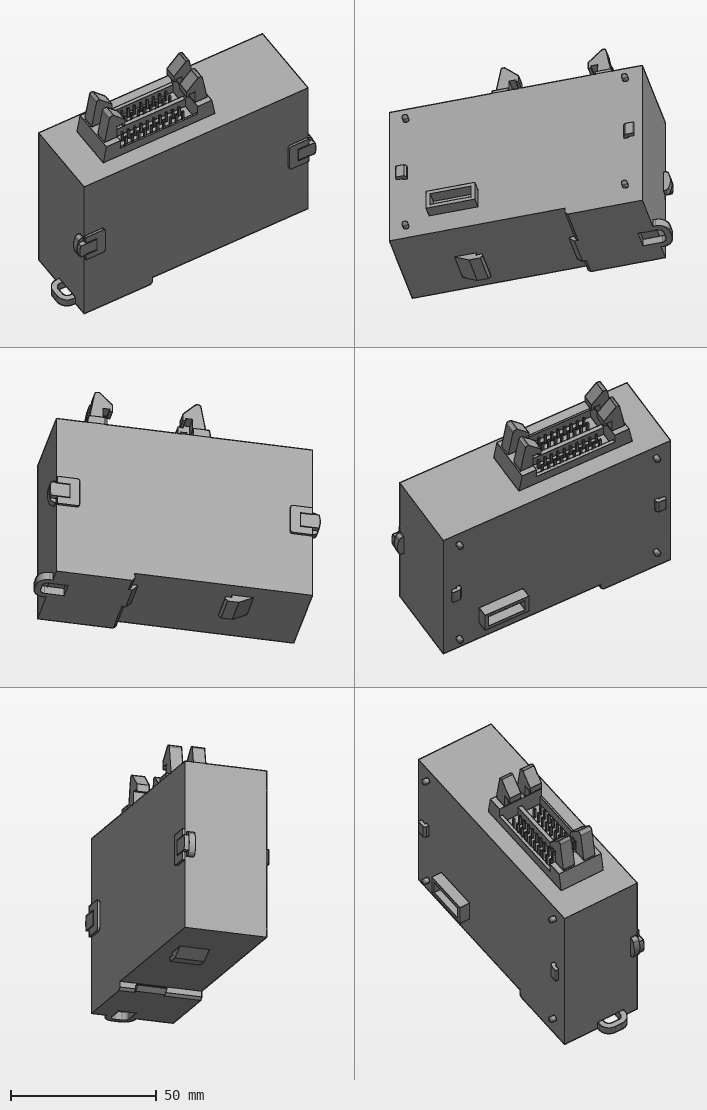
import cadquery as cq


body_width = 30.0
body_length = 90.0
body_height = 60.1
foot_height = 3.0
foot_inner_y = -17.45
foot_chamfer = 1.0
body_front_y = -body_length / 2
body_top = foot_height + body_height
mid_z = foot_height + body_height / 2

loop_width = 10.7
loop_reach = 5.0
loop_root = 1.0
loop_wall = 2.1
loop_corner = 4.0
loop_center_x = 19.0
opening_inset = 5.85
fixed_hook_heel_y = -17.1
fixed_hook_tip_y = -15.2
fixed_hook_tip_z = 1.7
fixed_hook_lip_y = -15.6
fixed_hook_top = 2.1
spring_hook_back_y = 25.5
spring_hook_ramp_y = 20.4
spring_hook_heel_y = 16.4
spring_hook_tip_y = 15.5
spring_hook_lip_y = 15.7
spring_hook_root_y = 17.8
spring_hook_bottom = 0.3
spring_hook_tip_z = 1.2
spring_hook_top = 2.0

header_center_y = -11.0
header_left = 6.3
header_width = 17.4
header_height = 7.2
header_half_base = 22.4
header_half_top = 21.2
header_wall_height = 3.6
header_half_gap = 15.5
cavity_spans = ((7.6, 13.9), (15.5, 23.0))

pin_size = 0.7
pin_pitch = 2.5
pin_rows = 10
pin_pair_centers = (10.7, 19.3)
pin_above_wall = 0.5

latch_width = 4.6
latch_half_base = 20.6
latch_top_outer = 18.5
latch_nose = 12.4
latch_nose_top = 6.9
latch_nose_bottom = 4.3
latch_lip = 1.0
latch_lip_height = 0.9
latch_half_gap = 15.7
latches = ((8.5, 11.9, 0.7, 0.6), (17.0, 11.5, 1.1, 0))

peg_diameter = 2.0
peg_length = 2.1
peg_rounding = 0.5
peg_offset_y = 39.0
peg_offset_z = 25.0
tab_inner_y = 38.5
tab_length = 3.8
tab_height = 5.2
tab_reach = 1.9
tab_gap = 0.5
tab_stem = 1.6
tab_bevel = 0.8
tab_rounding = 0.4
socket_center_y = 22.1
socket_center_z = 15.2
socket_length = 17.4
socket_height = 7.9
socket_wall = 1.5
socket_reach = 4.0

button_reach = 2.5
button_half_height = 4.4
button_x = 27.1
button_width = 2.3
button_side_reach = 1.5
button_corner = 1.5
bar_half_height = 2.7
bar_inner_y = 40.5
bar_setback = 0.1
bar_outer_x = body_width + 1.2
plate_thickness = 0.9
plate_half_height = 5.6
plate_inner_y = 36.9
plate_corner = 1.0
plate_setback = 0.2


def box(x0, x1, y0, y1, z0, z1):
    return cq.Workplane("XY").box(x1 - x0, y1 - y0, z1 - z0, centered=False).translate((x0, y0, z0))


def side_profile(x, points, width):
    """Extrude a closed (y, z) outline along +X from the given x."""
    return cq.Workplane("YZ").workplane(offset=x).polyline(points).close().extrude(width)


def mirrored_in_y(shape, plane_y=0):
    return shape.mirror("XZ", (0, plane_y, 0))


def make_housing():
    body_back_y = body_length / 2
    outline = [
        (body_front_y, 0),
        (foot_inner_y - foot_chamfer, 0),
        (foot_inner_y, foot_chamfer),
        (foot_inner_y, foot_height),
        (body_back_y, foot_height),
        (body_back_y, body_top),
        (body_front_y, body_top),
    ]
    return side_profile(0, outline, body_width)


def make_pull_loop():
    outer = box(loop_center_x - loop_width / 2, loop_center_x + loop_width / 2,
                body_front_y - loop_reach, body_front_y + loop_root, 0, foot_height)
    return outer.edges("|Z and <Y").fillet(loop_corner)


def make_loop_opening():
    """Long opening inside the loop that runs on into the underside of the foot."""
    half_width = loop_width / 2 - loop_wall
    opening = box(loop_center_x - half_width, loop_center_x + half_width,
                  body_front_y - loop_reach + loop_wall, body_front_y + opening_inset, 0, foot_height)
    return opening.edges("|Z and <Y").fillet(loop_corner - loop_wall)


def make_rail_hooks():
    hook_left = loop_center_x - loop_width / 2
    fixed_root_y = foot_inner_y - foot_chamfer
    fixed_hook = [
        (fixed_root_y, 0),
        (fixed_hook_heel_y, 0),
        (fixed_hook_tip_y, fixed_hook_tip_z),
        (fixed_hook_lip_y, fixed_hook_top),
        (fixed_root_y, fixed_hook_top),
    ]
    spring_hook = [
        (spring_hook_back_y, foot_height),
        (spring_hook_ramp_y, spring_hook_bottom),
        (spring_hook_heel_y, spring_hook_bottom),
        (spring_hook_tip_y, spring_hook_tip_z),
        (spring_hook_lip_y, spring_hook_top),
        (spring_hook_root_y, spring_hook_top),
        (spring_hook_root_y, foot_height),
    ]
    hooks = side_profile(hook_left, fixed_hook, loop_width)
    return hooks.union(side_profile(hook_left, spring_hook, loop_width))


def make_header():
    outline = [
        (-header_half_base, 0),
        (header_half_base, 0),
        (header_half_top, header_height),
        (header_half_gap, header_height),
        (header_half_gap, header_wall_height),
        (-header_half_gap, header_wall_height),
        (-header_half_gap, header_height),
        (-header_half_top, header_height),
    ]
    return side_profile(header_left, outline, header_width).translate((0, header_center_y, body_top))


def make_cavities():
    cavities = cq.Workplane("XY")
    for left, right in cavity_spans:
        cavities = cavities.union(box(
            left, right,
            header_center_y - header_half_gap, header_center_y + header_half_gap,
            body_top, body_top + header_wall_height,
        ))
    return cavities


def make_pins():
    places = [
        (pair_center + side * pin_pitch / 2, header_center_y + (row - (pin_rows - 1) / 2) * pin_pitch)
        for pair_center in pin_pair_centers
        for side in (-1, 1)
        for row in range(pin_rows)
    ]
    pins = cq.Workplane("XY").workplane(offset=body_top).pushPoints(places)
    return pins.rect(pin_size, pin_size).extrude(header_wall_height + pin_above_wall)


def make_latch(left, height, rounding, heel):
    tip_inner = latch_nose + height - latch_nose_top
    outline = [
        (latch_half_gap, 0),
        (latch_half_base, 0),
        (latch_top_outer, height),
        (tip_inner, height),
        (latch_nose, latch_nose_top),
        (latch_nose, latch_nose_bottom),
        (latch_nose + latch_lip, latch_nose_bottom),
        (latch_nose + latch_lip, latch_nose_bottom + latch_lip_height),
        (latch_half_gap, latch_nose_bottom + latch_lip_height),
    ]
    if heel > 0:
        outline.insert(2, (latch_half_base, heel))
    latch = side_profile(left, outline, latch_width)
    latch = latch.faces(">Z").edges(">Y").fillet(rounding)
    return latch.translate((0, header_center_y, body_top + header_height))


def make_latches():
    group = cq.Workplane("XY")
    for left, height, rounding, heel in latches:
        latch = make_latch(left, height, rounding, heel)
        group = group.union(latch).union(mirrored_in_y(latch, header_center_y))
    return group


def make_pegs():
    places = [(y, mid_z + z) for y in (-peg_offset_y, peg_offset_y) for z in (-peg_offset_z, peg_offset_z)]
    pegs = cq.Workplane("YZ").pushPoints(places).circle(peg_diameter / 2).extrude(-peg_length)
    return pegs.faces("<X").edges().fillet(peg_rounding)


def make_tab():
    tab_outer_y = tab_inner_y + tab_length
    outline = [
        (0, tab_inner_y),
        (tab_bevel - tab_reach, tab_inner_y),
        (-tab_reach, tab_inner_y + tab_bevel),
        (-tab_reach, tab_outer_y),
        (-tab_gap, tab_outer_y),
        (-tab_gap, tab_inner_y + tab_stem),
        (0, tab_inner_y + tab_stem),
    ]
    tab = cq.Workplane("XY").polyline(outline).close().extrude(tab_height)
    tab = tab.edges("|Z and >Y").fillet(tab_rounding)
    return tab.translate((0, 0, mid_z - tab_height / 2))


def make_socket_block(inset):
    half_length = socket_length / 2 - inset
    half_height = socket_height / 2 - inset
    return box(
        -socket_reach, 0,
        socket_center_y - half_length, socket_center_y + half_length,
        socket_center_z - half_height, socket_center_z + half_height,
    )


def make_crowned_block(left, width):
    """Block with a crowned, round-cornered end standing out of the back of the housing."""
    end_y = body_length / 2
    block = (
        cq.Workplane("YZ").workplane(offset=left)
        .moveTo(bar_inner_y, -button_half_height)
        .lineTo(end_y + button_side_reach, -button_half_height)
        .threePointArc((end_y + button_reach, 0), (end_y + button_side_reach, button_half_height))
        .lineTo(bar_inner_y, button_half_height)
        .close()
        .extrude(width)
    )
    return block.faces(">Y").edges("|X").fillet(button_corner).translate((0, 0, mid_z))


def make_button():
    end_y = body_length / 2
    button = make_crowned_block(button_x, button_width)
    bar_left = button_x + button_width
    bar_envelope = box(bar_left, bar_outer_x, bar_inner_y, end_y + button_reach,
                       mid_z - bar_half_height, mid_z + bar_half_height)
    bar = make_crowned_block(bar_left, bar_outer_x - bar_left).translate((0, -bar_setback, 0))
    plate = box(body_width, body_width + plate_thickness, plate_inner_y, end_y - plate_setback,
                mid_z - plate_half_height, mid_z + plate_half_height)
    plate = plate.edges("|X and <Y").fillet(plate_corner)
    return button.union(bar.intersect(bar_envelope)).union(plate)


tab = make_tab()
button = make_button()

result = (
    make_housing()
    .union(make_pull_loop())
    .cut(make_loop_opening())
    .union(make_rail_hooks())
    .union(make_header())
    .union(make_latches())
    .cut(make_cavities())
    .union(make_pins())
    .union(make_pegs())
    .union(tab)
    .union(mirrored_in_y(tab))
    .union(make_socket_block(0))
    .cut(make_socket_block(socket_wall))
    .union(button)
    .union(mirrored_in_y(button))
)